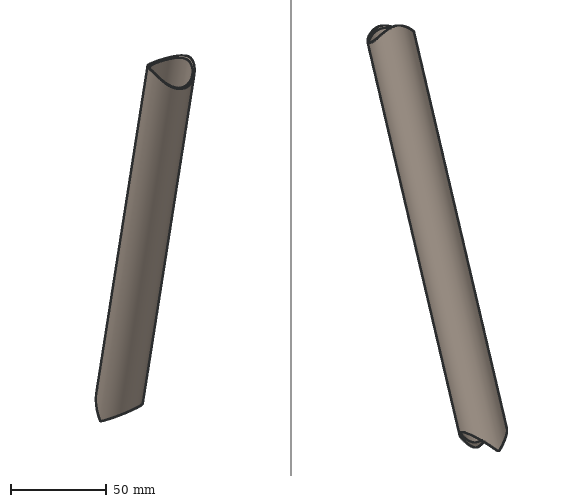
import cadquery as cq

tube_diameter = 25.0
wall = 1.1
axis_rise = 228.6
axis_shift_x = -27.3
axis_shift_y = 66.0
overrun = 26.9
cutter_length = 134.4

lower_cope_radius = 12.8
lower_cope_direction = cq.Vector(1, 0, 0)
lower_cope_offset = cq.Vector(0, 0.2, 0)
upper_cope_radius = 15.2
upper_cope_direction = cq.Vector(1, -0.11, 0.12)

lower_centre = cq.Vector(0, 0, 0)
upper_centre = cq.Vector(axis_shift_x, axis_shift_y, axis_rise)
tube_direction = (upper_centre - lower_centre).normalized()


def tube_rod(radius):
    """Solid rod along the tube axis, reaching past both crossing centres."""
    length = (upper_centre - lower_centre).Length + 2 * overrun
    return cq.Solid.makeCylinder(radius, length, lower_centre - tube_direction * overrun, tube_direction)


def cope_cutter(centre, radius, direction):
    """Crossing rod centred on the given point."""
    unit = direction.normalized()
    return cq.Solid.makeCylinder(radius, cutter_length, centre - unit * (cutter_length / 2), unit)


outer_radius = tube_diameter / 2
tube = cq.Workplane(obj=tube_rod(outer_radius)).cut(cq.Workplane(obj=tube_rod(outer_radius - wall)))
lower_cutter = cope_cutter(lower_centre + lower_cope_offset, lower_cope_radius, lower_cope_direction)
upper_cutter = cope_cutter(upper_centre, upper_cope_radius, upper_cope_direction)
coped = tube.cut(cq.Workplane(obj=lower_cutter)).cut(cq.Workplane(obj=upper_cutter))

body = max(coped.solids().vals(), key=lambda piece: piece.Volume())
result = cq.Workplane(obj=body)